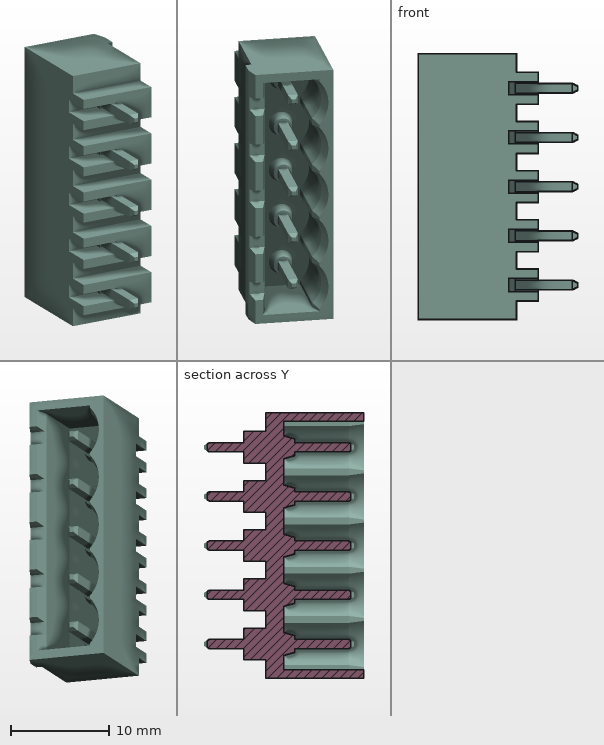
import cadquery as cq
import math


pin_count = 5
pitch = 5.0
body_height = 27.0
pin_y = 3.9
first_pin_z = (body_height - (pin_count - 1) * pitch) / 2
pin_heights = [first_pin_z + i * pitch for i in range(pin_count)]

body_length = 10.0
body_width = 7.88
latch_width = 8.5
latch_length = 3.05
latch_bevel_length = 1.48
latch_bevel_drop = 0.43

end_wall = 0.92
cavity_depth = 8.1
cavity_top_y = 6.8
ridge_y = 1.92
scallop_radius = 2.92
lip_depth = 1.48
lip_flare = 0.45

notch_depth = 1.2
notch_mouth_height = 1.9
notch_floor_height = 1.32

finger_end = 12.2
finger_height = 3.27
slot_start = 9.18
slot_height = 1.32
slot_step = 9.83
slot_shallow_depth = 3.25

pin_size = 1.0
pin_start = 1.0
pin_end = 16.2
pin_bevel = 0.55
pin_tip_size = 0.43
collar_height = 1.13
collar_base_radius = 1.25
collar_top_radius = 0.95


def box(x_range, y_range, z_range):
    """Axis-aligned box between pairs of limits."""
    size = [high - low for low, high in (x_range, y_range, z_range)]
    corner = (x_range[0], y_range[0], z_range[0])
    return cq.Workplane("XY").box(*size, centered=False).translate(corner)


def centred_span(middle, size):
    """Pair of limits spaced evenly about the middle."""
    return (middle - size / 2, middle + size / 2)


def housing():
    """Solid block with the bevelled latching rim at its mouth."""
    outline = [
        (0, 0),
        (body_length, 0),
        (body_length, body_width),
        (latch_length, body_width),
        (latch_length, latch_width),
        (latch_bevel_length, latch_width),
        (0, latch_width - latch_bevel_drop),
    ]
    return cq.Workplane("XY").polyline(outline).close().extrude(body_height)


def cavity_section(x, flare):
    """Closed wire of the cavity at depth x, with both side walls moved out by flare."""
    top_y = cavity_top_y + flare
    low_y = ridge_y - flare
    radius = scallop_radius + flare
    half_chord = math.sqrt(radius**2 - (pin_y - low_y) ** 2)
    end_z = body_height - end_wall
    section = cq.Workplane("YZ", origin=(x, 0, 0)).moveTo(top_y, end_wall).lineTo(low_y, end_wall)
    for z in pin_heights:
        section = section.lineTo(low_y, z - half_chord)
        section = section.threePointArc((pin_y - radius, z), (low_y, z + half_chord))
    return section.lineTo(low_y, end_z).lineTo(top_y, end_z).close().val()


def cavity():
    """Scalloped pocket whose side walls flare out at the mouth."""
    inner_section = cavity_section(lip_depth, 0)
    straight = cq.Solid.extrudeLinear(inner_section, [], cq.Vector(cavity_depth - lip_depth, 0, 0))
    lip = cq.Solid.makeLoft([cavity_section(0, lip_flare), inner_section], True)
    return cq.Workplane(straight).union(cq.Workplane(lip))


def latch_notch(z):
    """Tapered notch running through the latching wall."""
    outline = [
        (0, z - notch_mouth_height / 2),
        (notch_depth, z - notch_floor_height / 2),
        (notch_depth, z + notch_floor_height / 2),
        (0, z + notch_mouth_height / 2),
    ]
    plane = cq.Workplane("XZ", origin=(0, latch_width, 0))
    return plane.polyline(outline).close().extrude(latch_width - pin_y)


def finger(z):
    """Finger rooted in the wall behind the cavity."""
    return box((cavity_depth, finger_end), (0, body_width), centred_span(z, finger_height))


def pin_slot(z):
    """Stepped slot that exposes the pin from the plain side."""
    z_range = centred_span(z, slot_height)
    shallow = box((slot_start, slot_step), (0, slot_shallow_depth), z_range)
    deep = box((slot_step, finger_end), (0, pin_y), z_range)
    return shallow.union(deep)


def pin_tip(x, direction):
    """Pyramid frustum whose small face lies at x."""
    return (
        cq.Workplane("YZ", origin=(x, 0, 0))
        .rect(pin_tip_size, pin_tip_size)
        .workplane(offset=direction * pin_bevel)
        .rect(pin_size, pin_size)
        .loft(ruled=True)
    )


def pin(z):
    """Square pin with two bevelled ends."""
    half = pin_size / 2
    shank = box((pin_start + pin_bevel, pin_end - pin_bevel), (-half, half), (-half, half))
    whole = shank.union(pin_tip(pin_start, 1)).union(pin_tip(pin_end, -1))
    return whole.translate((0, pin_y, z))


def collar(z):
    """Conical collar around the pin on the cavity floor."""
    return cq.Workplane(
        cq.Solid.makeCone(
            collar_base_radius,
            collar_top_radius,
            collar_height,
            pnt=cq.Vector(cavity_depth, pin_y, z),
            dir=cq.Vector(-1, 0, 0),
        )
    )


result = housing().cut(cavity())
for pin_z in pin_heights:
    result = result.cut(latch_notch(pin_z))
    result = result.union(finger(pin_z)).cut(pin_slot(pin_z))
    result = result.union(collar(pin_z)).union(pin(pin_z))